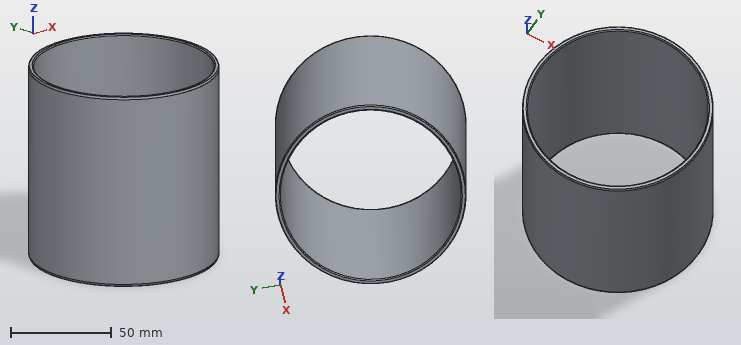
import cadquery as cq

length = 100.0
outer_diameter = 95.0
wall = 2.5
outer_chamfer_height = 1.2
outer_chamfer_width = 0.4
inner_chamfer = 0.6

outer_radius = outer_diameter / 2
inner_radius = outer_radius - wall

wall_section = (
    cq.Workplane("XZ")
    .moveTo(inner_radius + inner_chamfer, 0)
    .lineTo(outer_radius - outer_chamfer_width, 0)
    .lineTo(outer_radius, outer_chamfer_height)
    .lineTo(outer_radius, length - outer_chamfer_height)
    .lineTo(outer_radius - outer_chamfer_width, length)
    .lineTo(inner_radius + inner_chamfer, length)
    .lineTo(inner_radius, length - inner_chamfer)
    .lineTo(inner_radius, inner_chamfer)
    .close()
)

result = wall_section.revolve(360, (0, 0, 0), (0, 1, 0))